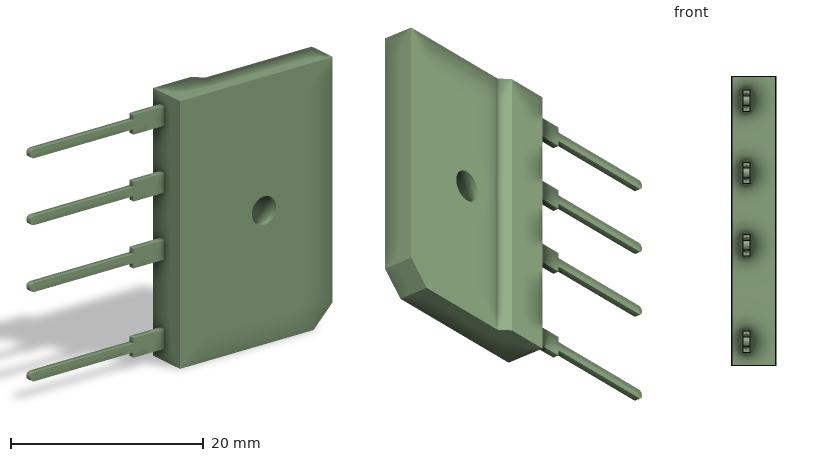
import cadquery as cq

total_length = 37.5
housing_thickness = 4.6
housing_length = 20.0
housing_height = 30.0

band_step = 1.05
band_length = 5.0
corner_chamfer = 2.5

hole_distance = 11.0
hole_front_diameter = 3.4
hole_back_diameter = 3.2

lead_length = total_length - housing_length
lead_thickness = 0.7
lead_setback = 1.2
shoulder_width = 2.2
shoulder_length = 4.0
pin_width = 1.0
lead_pitch = 7.5
wide_lead_gap = 10.0
top_lead_inset = 2.5

top_lead_height = housing_height - top_lead_inset
third_lead_height = top_lead_height - 2 * lead_pitch
lead_heights = [
    top_lead_height,
    top_lead_height - lead_pitch,
    third_lead_height,
    third_lead_height - wide_lead_gap,
]


def make_mounting_hole():
    """Conical cutter running along +X through the thin part of the housing."""
    return cq.Solid.makeCone(
        hole_front_diameter / 2,
        hole_back_diameter / 2,
        housing_thickness - band_step,
        pnt=cq.Vector(band_step, hole_distance, housing_height / 2),
        dir=cq.Vector(1, 0, 0),
    )


def make_housing():
    """Stepped profile extruded upwards, with a cut lower corner and the mounting hole."""
    body = (
        cq.Workplane("XY")
        .moveTo(0, 0)
        .lineTo(housing_thickness, 0)
        .lineTo(housing_thickness, housing_length)
        .lineTo(band_step, housing_length)
        .lineTo(band_step, band_length + band_step)
        .lineTo(0, band_length)
        .close()
        .extrude(housing_height)
    )
    body = body.faces(">Y").edges("<Z").chamfer(corner_chamfer)
    return body.cut(cq.Workplane(obj=make_mounting_hole())).solids()


def make_lead(height):
    """Flat lead centred on the given height, pointing along -Y from the housing face."""
    half_shoulder = shoulder_width / 2
    half_pin = pin_width / 2
    round_start = -lead_length + half_pin
    return (
        cq.Workplane("YZ", origin=(lead_setback, 0, height))
        .moveTo(0, half_shoulder)
        .lineTo(-shoulder_length, half_shoulder)
        .lineTo(-shoulder_length, half_pin)
        .lineTo(round_start, half_pin)
        .threePointArc((-lead_length, 0), (round_start, -half_pin))
        .lineTo(-shoulder_length, -half_pin)
        .lineTo(-shoulder_length, -half_shoulder)
        .lineTo(0, -half_shoulder)
        .close()
        .extrude(lead_thickness)
    )


housing = make_housing()
leads = [make_lead(height).val() for height in lead_heights]

result = cq.Compound.makeCompound([housing.val(), *leads])